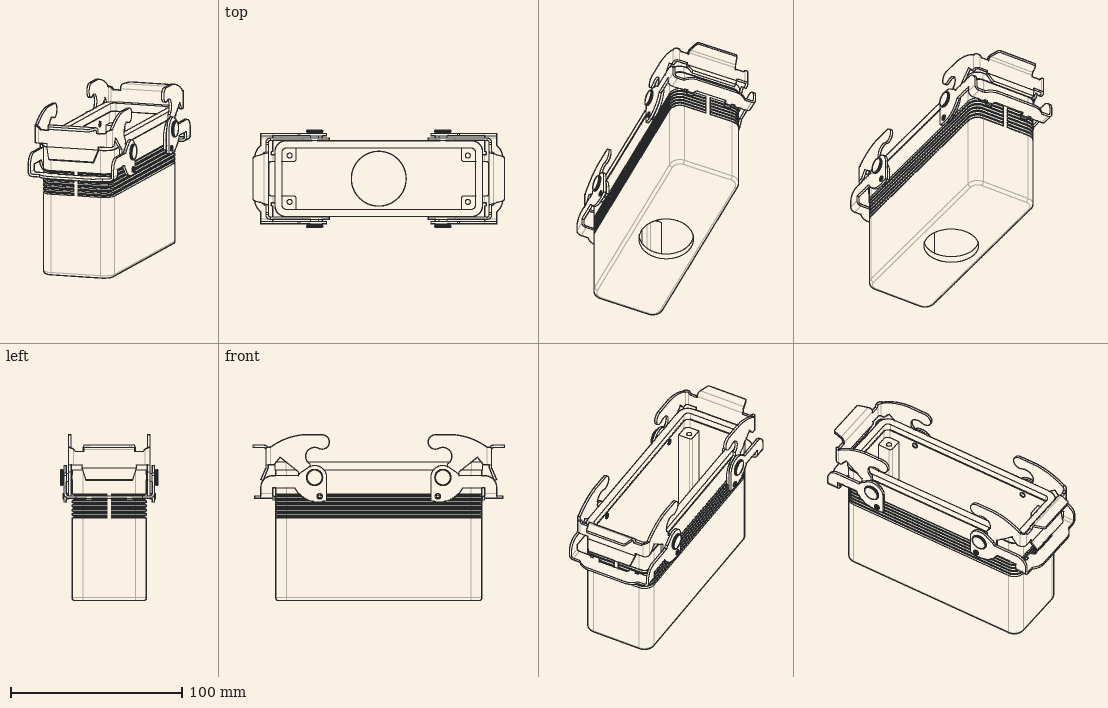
import cadquery as cq
import math

HOUSING_HEIGHT = 81.1
BODY_HALF_X = 60.3
BODY_HALF_Y = 21.8
BODY_CORNER_RADIUS = 6.5
BASE_EDGE_RADIUS = 1.8
LIP_HEIGHT = 4.9
LIP_STEP = 0.5
MOUTH_HALF_X = 56.6
MOUTH_HALF_Y = 18.0
CAVITY_UNDERCUT = 0.6
CAVITY_HALF_X = MOUTH_HALF_X + CAVITY_UNDERCUT
CAVITY_HALF_Y = MOUTH_HALF_Y + CAVITY_UNDERCUT
CAVITY_CORNER_RADIUS = 2.6
FLOOR_THICKNESS = 4.1
CABLE_HOLE_DIAMETER = 31.9

BOSS_LENGTH = 8.8
BOSS_WIDTH = 8.5
BOSS_TOP_Z = 69.4
BOSS_CORNER_RADIUS = 1.5
SCREW_HOLE_DIAMETER = 3.0
SCREW_HOLE_DEPTH = 8.8
SCREW_HOLE_TIP = 0.9
SCREW_HOLE_X = 52.0
SCREW_HOLE_Y = 13.5

GROOVE_COUNT = 6
GROOVE_PITCH = 2.5
GROOVE_OPENING = 1.6
GROOVE_FLOOR = 0.6
GROOVE_DEPTH = 1.2
LOWEST_GROOVE_Z = 48.4
WEB_WIDTH = 2.6

SHEET = 1.5
BEND_RADIUS = 2.8
PIVOT_X = -37.5
PIVOT_Z = 72.0
HOOK_LEVER_HALF_Y = 23.8
HANDLE_HALF_Y = 26.5
TOTAL_HEIGHT = 97.0

PIN_END_Y = 19.1
PIN_SHANK_DIAMETER = 3.2
PIN_COLLAR_DIAMETER = 4.9
PIN_HEAD_DIAMETER = 9.5
PIN_HEAD_THICKNESS = 1.5
PIN_HEAD_CHAMFER = 0.5
PIN_OUTER_Y = 28.5
RIVET_X = -34.5
RIVET_Z = 61.0
RIVET_DIAMETER = 3.2
RIVET_BORE_DIAMETER = 1.8
RIVET_OUTER_Y = 26.9

HOOK_END_X = -66.0
END_PLATE_BOTTOM_Z = 79.4
END_PLATE_TOP_Z = 87.3
SHOULDER_TOP_Z = 89.8
SHOULDER_BEND_Z = 88.8
SHOULDER_FOOT_Y = 19.8
HOOK_NOSE_RADIUS = 4.3
HOOK_NOSE_X = -33.0
HOOK_MOUTH_RADIUS = 5.3
HOOK_MOUTH_X = -37.3
HOOK_MOUTH_Z = 84.4
HOOK_MOUTH_END_ANGLE = 220
HOOK_BACK_START_X = -44.7
HOOK_BACK_MIDDLE = (-54.4, 94.6)
HOOK_NECK_X = -40.3
HOOK_NECK_TOP_Z = 79.8
HOOK_NECK_BOTTOM_Z = 77.2
LUG_LEFT_X = -46.7
LUG_LEFT_TOP_Z = 75.1
LUG_LEFT_BOTTOM_Z = 70.5
LUG_LEFT_ARC_MIDDLE = (-44.1, 65.0)
LUG_RIGHT_X = -32.3
LUG_RIGHT_TOP_Z = 66.1
LUG_RIGHT_ARC_MIDDLE = (-34.7, 73.3)
LUG_BOTTOM_X = -35.3
LUG_BOTTOM_Z = 60.3
HOOK_NOTCH_X = -57.6
HOOK_NOTCH_Z = 83.8
HOOK_NOTCH_FOOT_X = -61.1
FLANGE_TIP_X = -73.5
FLANGE_TOP_Z = 91.0
FLANGE_BEND_RADIUS = 2.6
FLANGE_TIP_HALF_Y = 12.6
FLANGE_ROOT_HALF_Y = 15.3
FLANGE_CORNER_RADIUS = 1.2
TAB_BEND_Z = 77.6
TAB_TIP_X = -69.0
TAB_TIP_Z = 70.8
TAB_ROOT_HALF_Y = 15.9
TAB_TIP_HALF_Y = 13.5

HANDLE_END_X = -69.0
HANDLE_ARM_INNER_X = -61.9
HANDLE_BASE_Z = 59.8
HANDLE_ARM_TOP_Z = 73.0
HANDLE_ARM_BOTTOM_Z = 66.0
HANDLE_ELBOW_START_Z = 66.6
HANDLE_ELBOW_MIDDLE = (-66.9, 71.1)
HANDLE_ELBOW_END_X = -62.0
HANDLE_ARM_END_X = -47.0
HANDLE_NECK_START = (-46.0, 74.5)
HANDLE_NECK_END = (-40.7, 78.2)
HANDLE_HEAD_BOTTOM_Z = 58.5
HANDLE_BELLY_MIDDLE = (-42.6, 59.4)
HANDLE_BELLY_END_X = -49.1
GRIP_END_X = -72.5
GRIP_STRAIGHT_HALF_Y = 13.2
GRIP_CORNER_MIDDLE_X = -71.1
GRIP_CORNER_MIDDLE_Y = 16.9
GRIP_ROOT_HALF_Y = 19.4
RELIEF_DEPTH = 0.9
RELIEF_HALF_Y = 15.9
WINDOW_DEPTH = 2.4
WINDOW_CORNER_RADIUS = 1.5
HANDLE_PIVOT_RADIUS = 7.0
STOP_TAB_END_X = -60.5
STOP_TAB_THICKNESS = 1.3
STOP_TAB_DEPTH = 1.0
STOP_TAB_INNER_Y = 10.0
STOP_TAB_OUTER_Y = 14.1


def rounded_block(half_x, half_y, radius, bottom_z, height):
    """Upright block with rounded vertical edges."""
    block = cq.Workplane("XY").box(2 * half_x, 2 * half_y, height, centered=(True, True, False))
    return block.edges("|Z").fillet(radius).translate((0, 0, bottom_z))


def point_on_circle(center_u, center_v, radius, degrees):
    """Point on a circle at an angle measured from the first axis."""
    angle = math.radians(degrees)
    return (center_u + radius * math.cos(angle), center_v + radius * math.sin(angle))


def cylinder_y(x, z, diameter, start_y, end_y):
    """Cylinder along +Y."""
    circle = cq.Workplane("XZ", origin=(x, start_y, z)).circle(diameter / 2)
    return circle.extrude(start_y - end_y)


def on_both_sides(part):
    """The part together with its mirror image across the XZ plane."""
    return part.union(part.mirror("XZ"))


def groove_cutter(bottom_z):
    """Ring with a trapezoidal section, narrower towards its floor, broken by the two end webs."""
    flank = (GROOVE_OPENING - GROOVE_FLOOR) / 2
    taper = math.degrees(math.atan2(GROOVE_DEPTH, flank))
    clearance = 1.5
    ring = rounded_block(
        BODY_HALF_X + clearance, BODY_HALF_Y + clearance, BODY_CORNER_RADIUS, bottom_z, GROOVE_OPENING
    )
    for start_z, direction in ((bottom_z, 1), (bottom_z + GROOVE_OPENING, -1)):
        outline = cq.Workplane("XY", origin=(0, 0, start_z)).sketch()
        outline = outline.rect(2 * BODY_HALF_X, 2 * BODY_HALF_Y).vertices().fillet(BODY_CORNER_RADIUS)
        ring = ring.cut(outline.finalize().extrude(direction * flank, taper=taper))
    ring = ring.cut(
        rounded_block(
            BODY_HALF_X - GROOVE_DEPTH,
            BODY_HALF_Y - GROOVE_DEPTH,
            BODY_CORNER_RADIUS - GROOVE_DEPTH,
            bottom_z,
            GROOVE_OPENING,
        )
    )
    web = cq.Workplane("XY").box(2 * BODY_HALF_X + 3 * clearance, WEB_WIDTH, 2 * HOUSING_HEIGHT)
    return ring.cut(web)


def corner_boss(side_x, side_y):
    """Screw boss that stands on the floor in one corner of the cavity."""
    height = BOSS_TOP_Z - FLOOR_THICKNESS
    boss = cq.Workplane("XY").box(BOSS_LENGTH, BOSS_WIDTH, height, centered=(True, True, False))
    boss = boss.edges("|Z and <X and <Y").fillet(BOSS_CORNER_RADIUS)
    boss = boss.edges("|Z and >X and >Y").fillet(CAVITY_CORNER_RADIUS)
    boss = boss.translate(
        (CAVITY_HALF_X - BOSS_LENGTH / 2, CAVITY_HALF_Y - BOSS_WIDTH / 2, FLOOR_THICKNESS)
    )
    hole = (
        cq.Workplane("XZ")
        .lineTo(SCREW_HOLE_DIAMETER / 2, 0)
        .lineTo(SCREW_HOLE_DIAMETER / 2, -SCREW_HOLE_DEPTH)
        .lineTo(0, -SCREW_HOLE_DEPTH - SCREW_HOLE_TIP)
        .close()
        .revolve(360, (0, 0), (0, 1))
    )
    boss = boss.cut(hole.translate((SCREW_HOLE_X, SCREW_HOLE_Y, BOSS_TOP_Z)))
    if side_x < 0:
        boss = boss.mirror("YZ")
    if side_y < 0:
        boss = boss.mirror("XZ")
    return boss


def make_housing():
    """Open-topped housing with grooves, lip, corner bosses, cable hole and pivot holes."""
    body = rounded_block(BODY_HALF_X, BODY_HALF_Y, BODY_CORNER_RADIUS, 0, HOUSING_HEIGHT)
    body = body.faces("<Z").edges().fillet(BASE_EDGE_RADIUS)
    for index in range(GROOVE_COUNT):
        body = body.cut(groove_cutter(LOWEST_GROOVE_Z + index * GROOVE_PITCH))
    lip = rounded_block(
        BODY_HALF_X + LIP_STEP,
        BODY_HALF_Y + LIP_STEP,
        BODY_CORNER_RADIUS,
        HOUSING_HEIGHT - LIP_HEIGHT,
        LIP_HEIGHT,
    )
    body = body.union(lip)
    mouth = rounded_block(
        MOUTH_HALF_X, MOUTH_HALF_Y, CAVITY_CORNER_RADIUS, FLOOR_THICKNESS, HOUSING_HEIGHT
    )
    cavity = rounded_block(
        CAVITY_HALF_X,
        CAVITY_HALF_Y,
        CAVITY_CORNER_RADIUS,
        FLOOR_THICKNESS,
        HOUSING_HEIGHT - LIP_HEIGHT - FLOOR_THICKNESS,
    )
    body = body.cut(mouth).cut(cavity)
    body = body.cut(cq.Workplane("XY").circle(CABLE_HOLE_DIAMETER / 2).extrude(FLOOR_THICKNESS))
    for side_x in (-1, 1):
        for side_y in (-1, 1):
            body = body.union(corner_boss(side_x, side_y))
        body = body.cut(
            cylinder_y(side_x * PIVOT_X, PIVOT_Z, PIN_SHANK_DIAMETER, -2 * BODY_HALF_Y, 2 * BODY_HALF_Y)
        )
    return body


def hook_side_plate():
    """Side plate with the locking hook above and the pivot lug below."""
    nose_z = TOTAL_HEIGHT - HOOK_NOSE_RADIUS
    to_mouth = math.degrees(math.atan2(HOOK_MOUTH_Z - nose_z, HOOK_MOUTH_X - HOOK_NOSE_X))
    mouth_start = point_on_circle(HOOK_NOSE_X, nose_z, HOOK_NOSE_RADIUS, to_mouth)
    mouth_end = point_on_circle(HOOK_MOUTH_X, HOOK_MOUTH_Z, HOOK_MOUTH_RADIUS, HOOK_MOUTH_END_ANGLE)
    plate = (
        cq.Workplane("XZ", origin=(0, HOOK_LEVER_HALF_Y, 0))
        .moveTo(HOOK_END_X + BEND_RADIUS, SHOULDER_TOP_Z)
        .threePointArc(HOOK_BACK_MIDDLE, (HOOK_BACK_START_X, TOTAL_HEIGHT))
        .lineTo(HOOK_NOSE_X, TOTAL_HEIGHT)
        .threePointArc((HOOK_NOSE_X + HOOK_NOSE_RADIUS, nose_z), mouth_start)
        .threePointArc((HOOK_MOUTH_X - HOOK_MOUTH_RADIUS, HOOK_MOUTH_Z), mouth_end)
        .lineTo(HOOK_NECK_X, HOOK_NECK_TOP_Z)
        .lineTo(HOOK_NECK_X, HOOK_NECK_BOTTOM_Z)
        .threePointArc(LUG_RIGHT_ARC_MIDDLE, (LUG_RIGHT_X, LUG_RIGHT_TOP_Z))
        .lineTo(LUG_RIGHT_X, LUG_BOTTOM_Z)
        .lineTo(LUG_BOTTOM_X, LUG_BOTTOM_Z)
        .threePointArc(LUG_LEFT_ARC_MIDDLE, (LUG_LEFT_X, LUG_LEFT_BOTTOM_Z))
        .lineTo(LUG_LEFT_X, LUG_LEFT_TOP_Z)
        .lineTo(HOOK_NOTCH_X, HOOK_NOTCH_Z)
        .lineTo(HOOK_NOTCH_FOOT_X, END_PLATE_BOTTOM_Z)
        .lineTo(HOOK_END_X + BEND_RADIUS, END_PLATE_BOTTOM_Z)
        .close()
        .extrude(SHEET)
    )
    return on_both_sides(plate)


def hook_end_plate():
    """End plate with bent corners; its top edge is low between the shoulders and the flange."""

    def bent_block(inset):
        block = cq.Workplane("XY").box(
            2 * BEND_RADIUS, 2 * (HOOK_LEVER_HALF_Y - inset), SHOULDER_TOP_Z - END_PLATE_BOTTOM_Z
        )
        block = block.edges("|Z and <X").fillet(BEND_RADIUS - inset)
        return block.translate(
            (HOOK_END_X + BEND_RADIUS + inset, 0, (SHOULDER_TOP_Z + END_PLATE_BOTTOM_Z) / 2)
        )

    shell = bent_block(0).cut(bent_block(SHEET))
    bend_y = HOOK_LEVER_HALF_Y - BEND_RADIUS
    outline = (
        cq.Workplane("YZ", origin=(HOOK_END_X, 0, 0))
        .moveTo(-HOOK_LEVER_HALF_Y, END_PLATE_BOTTOM_Z)
        .lineTo(-HOOK_LEVER_HALF_Y, SHOULDER_TOP_Z)
        .lineTo(-bend_y, SHOULDER_BEND_Z)
        .lineTo(-SHOULDER_FOOT_Y, END_PLATE_TOP_Z)
        .lineTo(SHOULDER_FOOT_Y, END_PLATE_TOP_Z)
        .lineTo(bend_y, SHOULDER_BEND_Z)
        .lineTo(HOOK_LEVER_HALF_Y, SHOULDER_TOP_Z)
        .lineTo(HOOK_LEVER_HALF_Y, END_PLATE_BOTTOM_Z)
        .close()
        .extrude(BEND_RADIUS)
    )
    return shell.intersect(outline)


def thumb_flange():
    """Flange bent outward from the end plate, tapering towards its tip."""
    inner_x = HOOK_END_X + SHEET
    bend_x = inner_x - FLANGE_BEND_RADIUS
    bend_z = FLANGE_TOP_Z - FLANGE_BEND_RADIUS
    inner_radius = FLANGE_BEND_RADIUS - SHEET
    strip = (
        cq.Workplane("XZ")
        .moveTo(FLANGE_TIP_X, FLANGE_TOP_Z)
        .lineTo(bend_x, FLANGE_TOP_Z)
        .threePointArc(point_on_circle(bend_x, bend_z, FLANGE_BEND_RADIUS, 45), (inner_x, bend_z))
        .lineTo(inner_x, END_PLATE_BOTTOM_Z)
        .lineTo(HOOK_END_X, END_PLATE_BOTTOM_Z)
        .lineTo(HOOK_END_X, bend_z)
        .threePointArc(point_on_circle(bend_x, bend_z, inner_radius, 45), (bend_x, bend_z + inner_radius))
        .lineTo(FLANGE_TIP_X, FLANGE_TOP_Z - SHEET)
        .close()
        .extrude(FLANGE_ROOT_HALF_Y, both=True)
    )
    outline = (
        cq.Workplane("XY")
        .moveTo(FLANGE_TIP_X, -FLANGE_TIP_HALF_Y)
        .lineTo(inner_x, -FLANGE_ROOT_HALF_Y)
        .lineTo(inner_x, FLANGE_ROOT_HALF_Y)
        .lineTo(FLANGE_TIP_X, FLANGE_TIP_HALF_Y)
        .close()
        .extrude(TOTAL_HEIGHT)
        .edges("|Z and <X")
        .fillet(FLANGE_CORNER_RADIUS)
    )
    return strip.intersect(outline)


def spring_tab():
    """Tab below the end plate, leaning outward and tapering towards its tip."""
    inner_x = HOOK_END_X + SHEET
    tip_z = TAB_TIP_Z - SHEET / 2
    strip = (
        cq.Workplane("XZ")
        .moveTo(HOOK_END_X, END_PLATE_BOTTOM_Z)
        .lineTo(HOOK_END_X, TAB_BEND_Z)
        .lineTo(TAB_TIP_X, TAB_TIP_Z)
        .lineTo(TAB_TIP_X + SHEET, tip_z)
        .lineTo(inner_x, TAB_BEND_Z)
        .lineTo(inner_x, END_PLATE_BOTTOM_Z)
        .close()
        .extrude(TAB_ROOT_HALF_Y, both=True)
    )
    outline = (
        cq.Workplane("YZ", origin=(FLANGE_TIP_X, 0, 0))
        .moveTo(-TAB_ROOT_HALF_Y, END_PLATE_BOTTOM_Z)
        .lineTo(-TAB_ROOT_HALF_Y, TAB_BEND_Z)
        .lineTo(-TAB_TIP_HALF_Y, tip_z)
        .lineTo(TAB_TIP_HALF_Y, tip_z)
        .lineTo(TAB_ROOT_HALF_Y, TAB_BEND_Z)
        .lineTo(TAB_ROOT_HALF_Y, END_PLATE_BOTTOM_Z)
        .close()
        .extrude(-FLANGE_TIP_X)
    )
    return strip.intersect(outline)


def handle_side_plate():
    """Side plate with a round head at the pivot and an arm that curves down to the handle base."""
    head_right_x = PIVOT_X + HANDLE_PIVOT_RADIUS
    arm_start_z = HANDLE_BASE_Z + BEND_RADIUS
    plate = (
        cq.Workplane("XZ", origin=(0, HANDLE_HALF_Y, 0))
        .moveTo(HANDLE_END_X, arm_start_z)
        .lineTo(HANDLE_END_X, HANDLE_ELBOW_START_Z)
        .threePointArc(HANDLE_ELBOW_MIDDLE, (HANDLE_ELBOW_END_X, HANDLE_ARM_TOP_Z))
        .lineTo(HANDLE_ARM_END_X, HANDLE_ARM_TOP_Z)
        .lineTo(*HANDLE_NECK_START)
        .lineTo(*HANDLE_NECK_END)
        .threePointArc(
            point_on_circle(PIVOT_X, PIVOT_Z, HANDLE_PIVOT_RADIUS, 45),
            (head_right_x, PIVOT_Z),
        )
        .lineTo(head_right_x, HANDLE_HEAD_BOTTOM_Z)
        .threePointArc(HANDLE_BELLY_MIDDLE, (HANDLE_BELLY_END_X, HANDLE_ARM_BOTTOM_Z))
        .lineTo(HANDLE_ARM_INNER_X, HANDLE_ARM_BOTTOM_Z)
        .lineTo(HANDLE_ARM_INNER_X, arm_start_z)
        .close()
        .extrude(SHEET)
    )
    return on_both_sides(plate)


def handle_base():
    """Flat grip below the housing lip, bent up at both ends to meet the arms."""
    bend_y = HANDLE_HALF_Y - BEND_RADIUS
    bend_z = HANDLE_BASE_Z + BEND_RADIUS
    inner_radius = BEND_RADIUS - SHEET
    bent_end = (
        cq.Workplane("YZ", origin=(HANDLE_END_X, 0, 0))
        .moveTo(0, HANDLE_BASE_Z)
        .lineTo(bend_y, HANDLE_BASE_Z)
        .threePointArc(point_on_circle(bend_y, bend_z, BEND_RADIUS, -45), (HANDLE_HALF_Y, bend_z))
        .lineTo(HANDLE_HALF_Y - SHEET, bend_z)
        .threePointArc(point_on_circle(bend_y, bend_z, inner_radius, -45), (bend_y, bend_z - inner_radius))
        .lineTo(0, HANDLE_BASE_Z + SHEET)
        .close()
        .extrude(HANDLE_ARM_INNER_X - HANDLE_END_X)
    )
    grip = (
        cq.Workplane("XY", origin=(0, 0, HANDLE_BASE_Z))
        .moveTo(HANDLE_ARM_INNER_X, -GRIP_ROOT_HALF_Y)
        .lineTo(HANDLE_END_X, -GRIP_ROOT_HALF_Y)
        .threePointArc(
            (GRIP_CORNER_MIDDLE_X, -GRIP_CORNER_MIDDLE_Y),
            (GRIP_END_X, -GRIP_STRAIGHT_HALF_Y),
        )
        .lineTo(GRIP_END_X, GRIP_STRAIGHT_HALF_Y)
        .threePointArc(
            (GRIP_CORNER_MIDDLE_X, GRIP_CORNER_MIDDLE_Y),
            (HANDLE_END_X, GRIP_ROOT_HALF_Y),
        )
        .lineTo(HANDLE_ARM_INNER_X, GRIP_ROOT_HALF_Y)
        .close()
        .extrude(SHEET)
    )
    inner_edge = cq.Workplane("XY", origin=(HANDLE_ARM_INNER_X, 0, HANDLE_BASE_Z))
    relief = inner_edge.box(2 * RELIEF_DEPTH, 2 * RELIEF_HALF_Y, 4 * SHEET)
    window = inner_edge.box(2 * WINDOW_DEPTH, 2 * STOP_TAB_INNER_Y, 4 * SHEET)
    window = window.edges("|Z").fillet(WINDOW_CORNER_RADIUS)
    return on_both_sides(bent_end).union(grip).cut(relief).union(stop_tabs()).cut(window)


def stop_tabs():
    """Two small tongues turned down beside the short side of the housing."""
    root_x = HANDLE_ARM_INNER_X - WINDOW_DEPTH
    top_z = HANDLE_BASE_Z + SHEET
    tip_z = HANDLE_BASE_Z - STOP_TAB_DEPTH
    bend_x = STOP_TAB_END_X - STOP_TAB_THICKNESS
    tab = (
        cq.Workplane("XZ", origin=(0, STOP_TAB_OUTER_Y, 0))
        .moveTo(root_x, HANDLE_BASE_Z)
        .lineTo(bend_x, HANDLE_BASE_Z)
        .lineTo(bend_x, tip_z)
        .lineTo(STOP_TAB_END_X, tip_z)
        .lineTo(STOP_TAB_END_X, top_z - STOP_TAB_THICKNESS)
        .threePointArc(
            point_on_circle(bend_x, top_z - STOP_TAB_THICKNESS, STOP_TAB_THICKNESS, 45),
            (bend_x, top_z),
        )
        .lineTo(root_x, top_z)
        .close()
        .extrude(STOP_TAB_OUTER_Y - STOP_TAB_INNER_Y)
    )
    return on_both_sides(tab)


def pivot_pins():
    """Headed pins through both levers; their shanks end inside the housing wall."""
    head_inner_y = PIN_OUTER_Y - PIN_HEAD_THICKNESS
    head = cylinder_y(PIVOT_X, PIVOT_Z, PIN_HEAD_DIAMETER, head_inner_y, PIN_OUTER_Y)
    head = head.edges().chamfer(PIN_HEAD_CHAMFER)
    collar = cylinder_y(PIVOT_X, PIVOT_Z, PIN_COLLAR_DIAMETER, HOOK_LEVER_HALF_Y - SHEET, head_inner_y)
    shank = cylinder_y(PIVOT_X, PIVOT_Z, PIN_SHANK_DIAMETER, PIN_END_Y, HOOK_LEVER_HALF_Y)
    return on_both_sides(head.union(collar).union(shank))


def rivets():
    """Rivets that tie each hook plate to its handle plate."""
    return on_both_sides(cylinder_y(RIVET_X, RIVET_Z, RIVET_DIAMETER, HOOK_LEVER_HALF_Y, RIVET_OUTER_Y))


def rivet_bores():
    """Blind bores in the outer ends of the rivets."""
    bore = cylinder_y(RIVET_X, RIVET_Z, RIVET_BORE_DIAMETER, HANDLE_HALF_Y, RIVET_OUTER_Y)
    return on_both_sides(bore)


def make_latch():
    """The complete latch at the -X end."""
    hook_lever = hook_side_plate().union(hook_end_plate()).union(thumb_flange()).union(spring_tab())
    handle_lever = handle_side_plate().union(handle_base())
    latch = hook_lever.union(handle_lever).union(pivot_pins()).union(rivets())
    return latch.cut(rivet_bores())


housing = make_housing()
latches = []
for mirrored in (False, True):
    latch = make_latch()
    latches.append(latch.mirror("YZ") if mirrored else latch)

result = cq.Compound.makeCompound([housing.val(), *[latch.val() for latch in latches]])